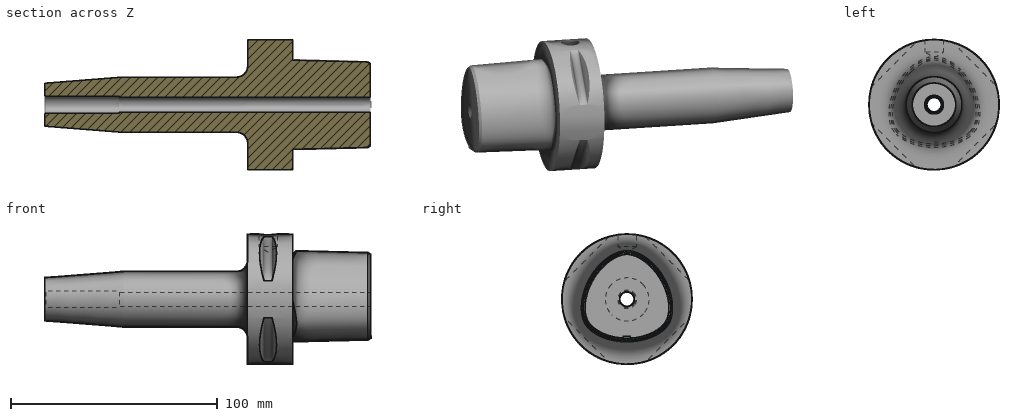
import cadquery as cq
import math


GAUGE_LENGTH = 120.0
NOSE_DIA = 21.0
BODY_DIA = 27.0
NOSE_TAPER_ANGLE = 4.5
BODY_FILLET = 5.0

FLANGE_DIA = 63.0
FLANGE_WIDTH = 22.0
GROOVE_X = -12.0

SLOT_COUNT = 4
SLOT_START_ANGLE = 45.0
SLOT_FLOOR_RADIUS = 27.65
SLOT_FLOOR_WIDTH = 3.8
SLOT_CORNER_RADIUS = 0.5
SLOT_FLANK_ANGLE = 30.0

POCKET_DIA = 9.0
POCKET_DEPTH = 6.0
POCKET_TIP_ANGLE = 118.0

SHANK_LENGTH = 37.6
POLYGON_DIA = 44.0
POLYGON_ECCENTRICITY = 1.4
TAPER_RATIO = 1 / 20
LOBE_COUNT = 3
SECTION_POINTS = 72
COLLAR_LENGTH = 1.8
BLEND_LENGTH = 1.0
SHANK_END_CHAMFER_LENGTH = 1.3
SHANK_END_CHAMFER_DEPTH = 0.9

UNDERCUT_RADIUS = 21.8
UNDERCUT_LENGTH = 1.8

OVERALL_LENGTH = 158.0
MARK_WIDTH = 3.4
MARK_HEIGHT = 0.8
MARK_Z = -18.4

BORE_DIA = 8.0
BORE_DEPTH = 36.0
BORE_MOUTH_DIA = 9.0
THROUGH_DIA = 6.92

NOSE_X = -GAUGE_LENGTH
FLANGE_FRONT_X = -FLANGE_WIDTH


def revolve_about_x(profile):
    """Turn a closed (x, radius) profile about the X axis."""
    return profile.close().revolve(360, (0, 0, 0), (1, 0, 0))


def make_body():
    body_radius = BODY_DIA / 2
    cone_length = (BODY_DIA - NOSE_DIA) / 2 / math.tan(math.radians(NOSE_TAPER_ANGLE))
    fillet_radius = body_radius + BODY_FILLET
    fillet_start_x = FLANGE_FRONT_X - BODY_FILLET
    bulge = BODY_FILLET * math.sqrt(0.5)
    profile = (
        cq.Workplane("XY")
        .moveTo(NOSE_X, 0)
        .lineTo(NOSE_X, NOSE_DIA / 2)
        .lineTo(NOSE_X + cone_length, body_radius)
        .lineTo(fillet_start_x, body_radius)
        .threePointArc(
            (fillet_start_x + bulge, fillet_radius - bulge),
            (FLANGE_FRONT_X, fillet_radius),
        )
        .lineTo(FLANGE_FRONT_X, FLANGE_DIA / 2)
        .lineTo(0, FLANGE_DIA / 2)
        .lineTo(0, 0)
    )
    return revolve_about_x(profile)


def polygon_section(x, inset):
    """Three-lobed section of constant width, shrunk by `inset`, one lobe toward +Z."""
    mean_radius = POLYGON_DIA / 2 - inset
    points = []
    for i in range(SECTION_POINTS):
        angle = 2 * math.pi * i / SECTION_POINTS
        support = mean_radius + POLYGON_ECCENTRICITY * math.cos(LOBE_COUNT * angle)
        slope = -LOBE_COUNT * POLYGON_ECCENTRICITY * math.sin(LOBE_COUNT * angle)
        z = support * math.cos(angle) - slope * math.sin(angle)
        y = support * math.sin(angle) + slope * math.cos(angle)
        points.append(cq.Vector(x, y, z))
    return cq.Wire.assembleEdges([cq.Edge.makeSpline(points, periodic=True)])


def make_shank():
    blend_end_x = COLLAR_LENGTH + BLEND_LENGTH
    chamfer_x = SHANK_LENGTH - SHANK_END_CHAMFER_LENGTH
    half_taper = TAPER_RATIO / 2
    blend_inset = BLEND_LENGTH * half_taper / 2
    taper_inset = blend_inset + (chamfer_x - blend_end_x) * half_taper
    sections = [
        polygon_section(0, 0),
        polygon_section(COLLAR_LENGTH, 0),
        polygon_section(blend_end_x, blend_inset),
        polygon_section(chamfer_x, taper_inset),
        polygon_section(SHANK_LENGTH, taper_inset + SHANK_END_CHAMFER_DEPTH),
    ]
    return cq.Workplane(cq.Solid.makeLoft(sections, True))


def make_undercut():
    outer_radius = FLANGE_DIA / 2
    lobe_radius = POLYGON_DIA / 2 + POLYGON_ECCENTRICITY
    profile = (
        cq.Workplane("XY")
        .moveTo(0, UNDERCUT_RADIUS)
        .lineTo(UNDERCUT_LENGTH, lobe_radius)
        .lineTo(UNDERCUT_LENGTH, outer_radius)
        .lineTo(0, outer_radius)
    )
    return revolve_about_x(profile)


def make_gripper_slot(angle):
    """Straight slot with flared flanks and rounded floor corners, facing `angle` around the X axis."""
    top_radius = FLANGE_DIA / 2
    flare = (top_radius - SLOT_FLOOR_RADIUS) * math.tan(math.radians(SLOT_FLANK_ANGLE))
    half_floor = SLOT_FLOOR_WIDTH / 2
    half_top = half_floor + flare
    return (
        cq.Workplane("XZ")
        .moveTo(GROOVE_X - half_floor, SLOT_FLOOR_RADIUS)
        .lineTo(GROOVE_X + half_floor, SLOT_FLOOR_RADIUS)
        .lineTo(GROOVE_X + half_top, top_radius)
        .lineTo(GROOVE_X - half_top, top_radius)
        .close()
        .extrude(FLANGE_DIA / 2, both=True)
        .faces("<Z")
        .edges("|Y")
        .fillet(SLOT_CORNER_RADIUS)
        .rotate((0, 0, 0), (1, 0, 0), angle)
    )


def make_pocket():
    radius = POCKET_DIA / 2
    rim_z = FLANGE_DIA / 2
    floor_z = rim_z - POCKET_DEPTH
    tip_z = floor_z - radius / math.tan(math.radians(POCKET_TIP_ANGLE / 2))
    return (
        cq.Workplane("XZ")
        .polyline([(0, tip_z), (radius, floor_z), (radius, rim_z), (0, rim_z)])
        .close()
        .revolve(360, (0, 0, 0), (0, 1, 0))
        .translate((GROOVE_X, 0, 0))
    )


def make_bore():
    mouth_depth = (BORE_MOUTH_DIA - BORE_DIA) / 2
    step_x = NOSE_X + BORE_DEPTH
    profile = (
        cq.Workplane("XY")
        .moveTo(NOSE_X, 0)
        .lineTo(NOSE_X, BORE_MOUTH_DIA / 2)
        .lineTo(NOSE_X + mouth_depth, BORE_DIA / 2)
        .lineTo(step_x, BORE_DIA / 2)
        .lineTo(step_x, THROUGH_DIA / 2)
        .lineTo(SHANK_LENGTH, THROUGH_DIA / 2)
        .lineTo(SHANK_LENGTH, 0)
    )
    return revolve_about_x(profile)


def make_position_mark():
    """Small raised bar on the shank end, rooted inside the shank."""
    mark_length = OVERALL_LENGTH - GAUGE_LENGTH - SHANK_LENGTH
    return (
        cq.Workplane("YZ", origin=(SHANK_LENGTH, 0, MARK_Z))
        .rect(MARK_WIDTH, MARK_HEIGHT)
        .extrude(mark_length, both=True)
    )


result = make_body().union(make_shank().cut(make_undercut()))
for i in range(SLOT_COUNT):
    result = result.cut(make_gripper_slot(SLOT_START_ANGLE + i * 360 / SLOT_COUNT))
result = result.cut(make_pocket()).cut(make_bore()).union(make_position_mark())